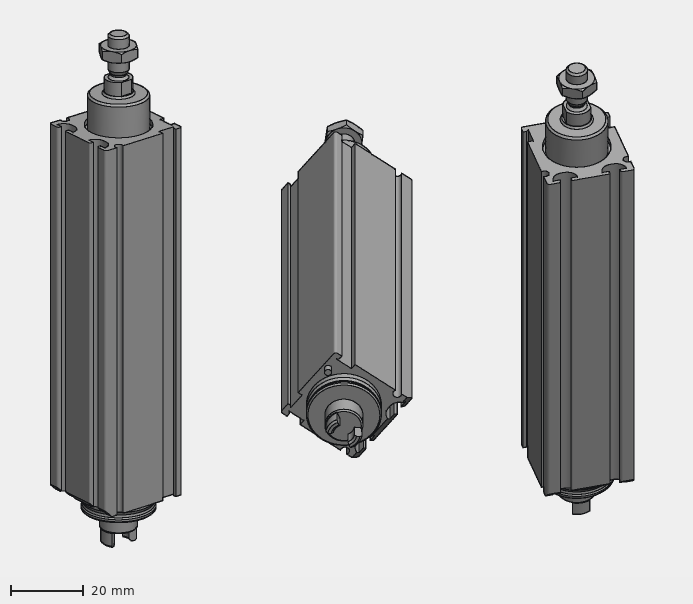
import cadquery as cq
import math

total_height = 152.5
barrel_bottom = 15.0
barrel_top = 125.2

barrel_half_width = 12.5
barrel_back = 12.5
barrel_front = -14.5
corner_radius = 0.8
foot_chamfer = 2.1

hook_undercut = 0.6
side_slot_near = 5.6
side_slot_far = 10.2
side_slot_depth = 1.7
back_slot_near = 4.4
back_slot_far = 9.0
back_slot_depth = 1.4

groove_radius = 1.2
groove_x = 11.9
groove_y = -9.5

t_slot_x = 7.0
t_slot_mouth = 3.0
t_slot_radius = 3.0
t_slot_flat = 0.9
t_slot_top = -10.4
t_slot_lip = 1.2
outer_lip_radius = 0.8
inner_lip_radius = 0.3

recess_diameter = 18.9
recess_depth = 1.5
collar_diameter = 17.2
collar_top = 134.7
collar_chamfer = 0.6

rod_diameter = 8.0
rod_flats = 7.0
rod_shoulder = 139.4
shoulder_cone_radius = 2.9
neck_radius = 2.1
neck_bottom = 140.1
neck_top = 140.8
neck_cone_radius = 2.5
stud_diameter = 6.0
stud_bottom = 142.0
stud_chamfer = 0.6

nut_flats = 9.9
nut_sides = 6
nut_bottom = 145.6
nut_height = 3.4
nut_chamfer_angle = 30.0

lip_base_diameter = 9.2
lip_tip_diameter = 8.2
lip_height = 0.6

cap_radius = 10.4
cap_groove_radius = 9.9
cap_flare_radius = 10.0
cap_bottom = 9.9
cap_upper_rim_bottom = 13.1
cap_groove_middle = 12.2
cap_flare_bottom = 11.5
cap_lower_rim_top = 11.0
cap_chamfer = 0.5

shank_diameter = 10.5
shank_bottom = 4.4
shank_chamfer = 0.5
jaw_outer_radius = 5.0
jaw_inner_radius = 2.9
jaw_angle = 60.0
jaw_chamfer = 0.6

pin_diameter = 2.0
pin_x = -7.0
pin_y = 10.8
pin_length = 2.1


def cylinder(diameter, bottom, top):
    return cq.Workplane("XY").workplane(offset=bottom).circle(diameter / 2).extrude(top - bottom)


def revolved(profile):
    """Solid of revolution about Z from (radius, height) points."""
    return cq.Workplane("XZ").polyline(profile).close().revolve(360, (0, 0), (0, 1))


def barrel_prism(sketch):
    """Extrude a closed outline over the barrel's whole length."""
    return sketch.extrude(barrel_top - barrel_bottom)


def hooked_slot(near, far, depth):
    """Slot cut down from y = 0, running from near to far along x, hooked at its far end."""
    outline = [
        (near, depth),
        (far, depth),
        (far, hook_undercut - depth),
        (far + hook_undercut, -depth),
        (near, -depth),
    ]
    return barrel_prism(cq.Workplane("XY").polyline(outline).close())


def t_slot():
    """Slot with a narrow mouth and a domed inside, centred on x = 0."""
    lip_top = barrel_front + t_slot_lip
    arc_center_y = t_slot_top - t_slot_radius
    half_flat = t_slot_flat / 2
    lip_reach = half_flat + math.sqrt(t_slot_radius**2 - (lip_top - arc_center_y) ** 2)
    arc_middle_angle = (math.asin((lip_top - arc_center_y) / t_slot_radius) + math.pi / 2) / 2
    middle_x = half_flat + t_slot_radius * math.cos(arc_middle_angle)
    middle_y = arc_center_y + t_slot_radius * math.sin(arc_middle_angle)
    half_mouth = t_slot_mouth / 2
    return barrel_prism(
        cq.Workplane("XY")
        .moveTo(half_mouth, barrel_front)
        .lineTo(half_mouth, lip_top)
        .lineTo(lip_reach, lip_top)
        .threePointArc((middle_x, middle_y), (half_flat, t_slot_top))
        .lineTo(-half_flat, t_slot_top)
        .threePointArc((-middle_x, middle_y), (-lip_reach, lip_top))
        .lineTo(-half_mouth, lip_top)
        .lineTo(-half_mouth, barrel_front)
        .close()
    )


def lip_edges(body, mouth_side):
    """Front edges of both T-slot mouths: mouth_side is +1 for the outer lips, -1 for the inner ones."""
    lip_x = t_slot_x + mouth_side * t_slot_mouth / 2
    middle_height = (barrel_top - barrel_bottom) / 2
    selectors = [cq.NearestToPointSelector((side * lip_x, barrel_front, middle_height)) for side in (-1, 1)]
    return body.edges("|Z").edges(selectors[0] + selectors[1])


def make_barrel():
    depth = barrel_back - barrel_front
    body = barrel_prism(
        cq.Workplane("XY").center(0, barrel_back - depth / 2).rect(2 * barrel_half_width, depth)
    )
    body = body.edges("|Z").fillet(corner_radius)

    back_slot = hooked_slot(back_slot_near, back_slot_far, back_slot_depth)
    body = body.cut(back_slot.translate((0, barrel_back, 0)))

    right_slot = hooked_slot(side_slot_near, side_slot_far, side_slot_depth)
    right_slot = right_slot.mirror("XZ").rotate((0, 0, 0), (0, 0, 1), 90)
    right_slot = right_slot.translate((barrel_half_width, 0, 0))
    right_groove = barrel_prism(cq.Workplane("XY").center(groove_x, groove_y).circle(groove_radius))
    right_t_slot = t_slot().translate((t_slot_x, 0, 0))
    for cutter in (right_slot, right_groove, right_t_slot):
        body = body.cut(cutter).cut(cutter.mirror("YZ"))

    body = lip_edges(body, 1).fillet(outer_lip_radius)
    body = lip_edges(body, -1).fillet(inner_lip_radius)

    body = body.translate((0, 0, barrel_bottom))
    foot = (
        cq.Workplane("YZ")
        .moveTo(barrel_front, barrel_bottom)
        .lineTo(barrel_front + foot_chamfer, barrel_bottom)
        .lineTo(barrel_front, barrel_bottom + foot_chamfer)
        .close()
        .extrude(barrel_half_width, both=True)
    )
    recess = cylinder(recess_diameter, barrel_top - recess_depth, barrel_top)
    return body.cut(foot).cut(recess)


def make_collar():
    collar = cylinder(collar_diameter, barrel_top - recess_depth, collar_top)
    collar = collar.faces(">Z").edges().chamfer(collar_chamfer)
    lip_tip = collar_top + lip_height
    lip = revolved(
        [
            (0, collar_top),
            (lip_base_diameter / 2, collar_top),
            (lip_tip_diameter / 2, lip_tip),
            (0, lip_tip),
        ]
    )
    return collar.union(lip).cut(make_rod())


def make_rod():
    rod_bottom = barrel_top - recess_depth
    shaft = cylinder(rod_diameter, rod_bottom, rod_shoulder)
    flats = (
        cq.Workplane("XY")
        .workplane(offset=rod_bottom)
        .rect(rod_flats, 2 * rod_diameter)
        .extrude(rod_shoulder - rod_bottom)
    )
    stud_radius = stud_diameter / 2
    stud = revolved(
        [
            (0, rod_shoulder),
            (shoulder_cone_radius, rod_shoulder),
            (neck_radius, neck_bottom),
            (neck_radius, neck_top),
            (neck_cone_radius, neck_top),
            (stud_radius, stud_bottom),
            (stud_radius, total_height - stud_chamfer),
            (stud_radius - stud_chamfer, total_height),
            (0, total_height),
        ]
    )
    return shaft.intersect(flats).union(stud)


def make_nut():
    half_side_angle = 180 / nut_sides
    across_corners = nut_flats / math.cos(math.radians(half_side_angle))
    blank = cq.Workplane("XY").polygon(nut_sides, across_corners).extrude(nut_height)
    blank = blank.rotate((0, 0, 0), (0, 0, 1), half_side_angle).translate((0, 0, nut_bottom))
    nut_top = nut_bottom + nut_height
    round_radius = across_corners / 2
    flat_radius = nut_flats / 2
    chamfer_drop = (round_radius - flat_radius) * math.tan(math.radians(nut_chamfer_angle))
    chamfered_round = revolved(
        [
            (0, nut_bottom),
            (flat_radius, nut_bottom),
            (round_radius, nut_bottom + chamfer_drop),
            (round_radius, nut_top - chamfer_drop),
            (flat_radius, nut_top),
            (0, nut_top),
        ]
    )
    return blank.intersect(chamfered_round).cut(cylinder(stud_diameter, nut_bottom, nut_top))


def make_cap():
    return revolved(
        [
            (0, cap_bottom),
            (cap_radius - cap_chamfer, cap_bottom),
            (cap_radius, cap_bottom + cap_chamfer),
            (cap_radius, cap_lower_rim_top),
            (cap_flare_radius, cap_flare_bottom),
            (cap_groove_radius, cap_groove_middle),
            (cap_radius, cap_upper_rim_bottom),
            (cap_radius, barrel_bottom),
            (0, barrel_bottom),
        ]
    )


def jaw_sector():
    """Wedge around +Y that bounds one jaw sideways."""
    reach = 2 * jaw_outer_radius
    half_width = reach * math.tan(math.radians(jaw_angle / 2))
    outline = [(0, 0), (half_width, reach), (-half_width, reach)]
    return cq.Workplane("XY").polyline(outline).close().extrude(shank_bottom)


def make_shank():
    shank = cylinder(shank_diameter, shank_bottom, cap_bottom)
    shank = shank.faces("<Z").edges().chamfer(shank_chamfer)
    ring = cylinder(2 * jaw_outer_radius, 0, shank_bottom)
    ring = ring.cut(cylinder(2 * jaw_inner_radius, 0, shank_bottom))
    ring = ring.faces("<Z").edges().chamfer(jaw_chamfer)
    jaw = ring.intersect(jaw_sector())
    for angle in (0, 180):
        shank = shank.union(jaw.rotate((0, 0, 0), (0, 0, 1), angle))
    return shank


def make_pin():
    pin = cylinder(pin_diameter, barrel_bottom - pin_length, barrel_bottom)
    return pin.translate((pin_x, pin_y, 0))


barrel = make_barrel()
collar = make_collar()
rod = make_rod()
nut = make_nut()
cap = make_cap()
shank = make_shank()
pin = make_pin()

bodies = [barrel, collar, rod, nut, cap, shank, pin]
result = cq.Compound.makeCompound([body.solids().val() for body in bodies])